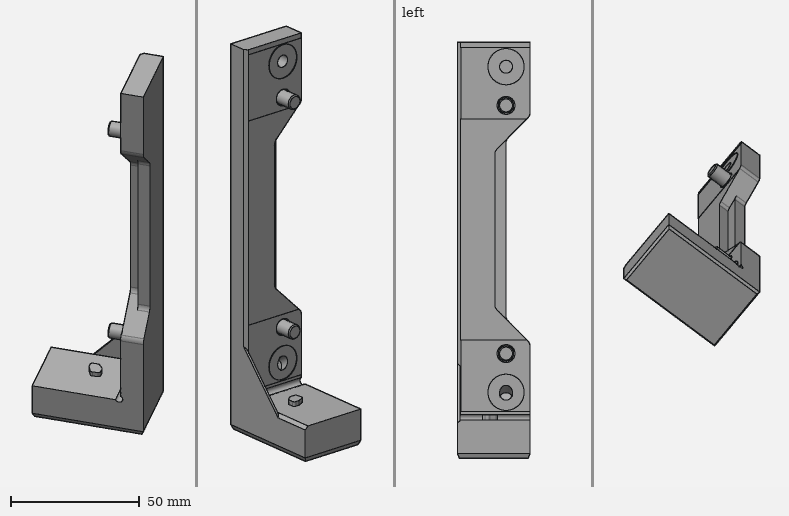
import cadquery as cq
length = 45.0
width = 28.3
height = 161.6
foot_height = 15.0
pad_face_x = 35.7
pad_rise = 0.08
plate_face_x = pad_face_x + pad_rise
edge_chamfer = 1.37
foot_bevel_height = 2.0
foot_bevel_inset = 0.8
corner_relief_radius = 1.54
corner_relief_offset = 0.6

mid_z = 88.9
notch_mouth_half = 44.1
front_notch_depth = 13.7
rear_notch_depth = 9.4
notch_step_x = 40.0
notch_radius = 3.0
corner_search = 1.6

feature_y = 9.4
pad_offset = 56.7
pad_height = 27.8
hole_offset = 63.2
hole_diameter = 5.0
spot_diameter = 14.0
spot_depth = 0.3
upper_hole_depth = 6.5
lower_hole_depth = 4.7
lower_hole_tilt = 30.0
pin_offset = 48.2
pin_diameter = 6.0
pin_protrusion = 7.1
pin_embed = 6.5
pin_chamfer = 0.5
pin_hole_chamfer = 0.5
pin_heights = [mid_z + side * pin_offset for side in (-1, 1)]

web_thickness = 1.0
web_tip_x = 16.3
web_top_z = 37.0

lug_height = 2.0
lug_radius = 1.0
lug_outline = [(18.5, 18.5), (21.8, 18.5), (23.8, 16.0), (23.8, 13.1), (20.0, 12.6), (18.5, 15.8)]


def box(x0, x1, y0, y1, z0, z1):
    """Block between two opposite corners."""
    return cq.Workplane("XY").box(x1 - x0, y1 - y0, z1 - z0, centered=False).translate((x0, y0, z0))


def rod(diameter, x0, x1, z):
    """Cylinder along X on the common hole line."""
    return cq.Workplane("YZ", origin=(x0, feature_y, z)).circle(diameter / 2).extrude(x1 - x0)


def foot():
    """Foot block with its beveled underside and chamfered +Y top edge."""
    block = box(0, length, 0, width, foot_bevel_height, foot_height)
    block = block.edges(cq.selectors.NearestToPointSelector((length / 2, width, foot_height)))
    block = block.chamfer(edge_chamfer)
    base = (
        cq.Workplane("XY", origin=(length / 2, width / 2, foot_bevel_height))
        .rect(length, width)
        .workplane(offset=-foot_bevel_height)
        .rect(length - 2 * foot_bevel_inset, width - 2 * foot_bevel_inset)
        .loft(ruled=True)
    )
    return block.union(base)


def notch(x0, x1, depth):
    """Trapezoid notch with 45 degree flanks and rounded inner corners."""
    floor_half = notch_mouth_half - depth
    cutter = (
        cq.Workplane("YZ", origin=(x0, 0, mid_z))
        .polyline([
            (0, -notch_mouth_half),
            (depth, -floor_half),
            (depth, floor_half),
            (0, notch_mouth_half),
        ])
        .close()
        .extrude(x1 - x0)
    )
    return cutter.edges("|X and >Y").fillet(notch_radius)


def cut_notches(body):
    """Cut the stepped notch and round its outer corners."""
    body = body.cut(notch(pad_face_x, length, rear_notch_depth))
    body = body.cut(notch(pad_face_x, notch_step_x, front_notch_depth))
    for side in (-1, 1):
        corner_z = mid_z + side * notch_mouth_half
        corner = cq.selectors.BoxSelector(
            (pad_face_x, -corner_search, corner_z - corner_search),
            (length, corner_search, corner_z + corner_search),
        )
        body = body.edges("|X").edges(corner).fillet(notch_radius)
    return body


def plate():
    """Upright plate with its side notch, raised pads and chamfered +Y edge."""
    body = cut_notches(box(pad_face_x, length, 0, width, foot_bevel_height, height))
    chamfer_cut = (
        cq.Workplane("XY", origin=(pad_face_x, width, foot_height - edge_chamfer))
        .polyline([(0, 0), (edge_chamfer, 0), (0, -edge_chamfer)])
        .close()
        .extrude(height)
    )
    relief = box(pad_face_x, plate_face_x, 0, width, foot_height - edge_chamfer, height)
    for side in (-1, 1):
        pad_z = mid_z + side * pad_offset
        relief = relief.cut(
            box(pad_face_x, plate_face_x, 0, width, pad_z - pad_height / 2, pad_z + pad_height / 2)
        )
    return body.cut(chamfer_cut).cut(relief)


def corner_relief():
    """Round undercut along the inner corner of foot and plate."""
    return (
        cq.Workplane("XZ")
        .center(pad_face_x - corner_relief_offset, foot_height + corner_relief_offset)
        .circle(corner_relief_radius)
        .extrude(-width)
    )


def web():
    """Triangular web joining the foot top to the plate face."""
    base_z = foot_height - edge_chamfer
    back_x = pad_face_x + edge_chamfer
    return (
        cq.Workplane("XZ", origin=(0, width - web_thickness, 0))
        .polyline([(web_tip_x, base_z), (back_x, base_z), (back_x, web_top_z)])
        .close()
        .extrude(-web_thickness)
    )


def lug():
    """Rounded six-sided lug standing on the foot."""
    return (
        cq.Workplane("XY", origin=(0, 0, foot_height))
        .polyline(lug_outline)
        .close()
        .extrude(lug_height)
        .edges("|Z")
        .fillet(lug_radius)
    )


def cut_holes(body):
    """Spot-faced holes: straight in the upper pad, tilted in the lower pad."""
    upper_z = mid_z + hole_offset
    lower_z = mid_z - hole_offset
    for z in (upper_z, lower_z):
        body = body.cut(rod(spot_diameter, pad_face_x, pad_face_x + spot_depth, z))
    body = body.cut(rod(hole_diameter, pad_face_x, pad_face_x + upper_hole_depth, upper_z))
    tilted = rod(hole_diameter, pad_face_x - hole_diameter, pad_face_x + lower_hole_depth, lower_z)
    tilted = tilted.rotate(
        (pad_face_x, feature_y, lower_z), (pad_face_x, feature_y + 1.6, lower_z), lower_hole_tilt
    )
    return body.cut(tilted)


def cut_pin_hole(body, z):
    """Blind pin hole with a chamfered mouth."""
    mouth = (
        cq.Workplane("YZ", origin=(pad_face_x, feature_y, z))
        .circle(pin_diameter / 2 + pin_hole_chamfer)
        .workplane(offset=pin_hole_chamfer)
        .circle(pin_diameter / 2)
        .loft()
    )
    return body.cut(rod(pin_diameter, pad_face_x, pad_face_x + pin_embed, z)).cut(mouth)


def make_bracket():
    """Plate, foot, web and lug as one solid, with the holes cut."""
    body = plate().union(foot()).cut(corner_relief()).union(web()).union(lug())
    body = cut_holes(body)
    for z in pin_heights:
        body = cut_pin_hole(body, z)
    return body


def make_pin(z):
    """Dowel pin with a chamfered tip."""
    pin = rod(pin_diameter, pad_face_x - pin_protrusion, pad_face_x + pin_embed, z)
    return pin.faces("<X").chamfer(pin_chamfer)


bracket = make_bracket()
pins = [make_pin(z) for z in pin_heights]
result = cq.Compound.makeCompound([bracket.val(), *[pin.val() for pin in pins]])